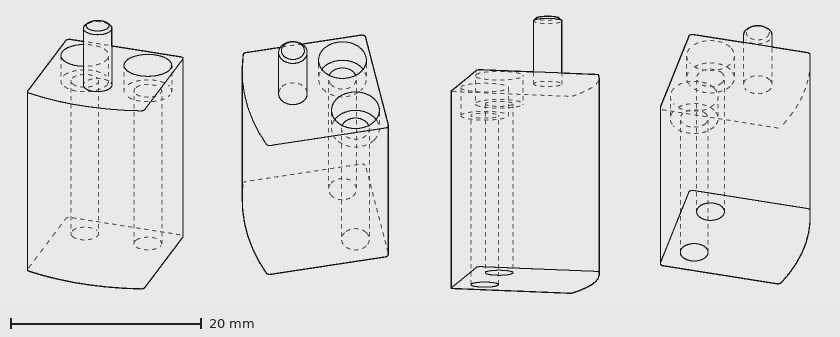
import cadquery as cq

width = 13.0
depth = 14.0
height = 21.0
corner_radius = 0.4

hole_diameter = 2.9
counterbore_diameter = 5.0
counterbore_depth = 3.0
hole_spacing = 7.0
hole_inset = 3.0

pin_diameter = 3.0
pin_tip_diameter = 2.4
pin_inset = 9.0
total_height = 28.0

back_y = depth / 2
bow_corner_y = back_y - width
hole_y = back_y - hole_inset
pin_y = back_y - pin_inset
pin_length = total_height - height
pin_chamfer = (pin_diameter - pin_tip_diameter) / 2


def make_housing():
    """Block with an arched front, rounded upright edges and two counterbored holes."""
    block = (
        cq.Workplane("XY")
        .moveTo(-width / 2, bow_corner_y)
        .lineTo(-width / 2, back_y)
        .lineTo(width / 2, back_y)
        .lineTo(width / 2, bow_corner_y)
        .threePointArc((0, -depth / 2), (-width / 2, bow_corner_y))
        .close()
        .extrude(height)
        .edges("|Z")
        .fillet(corner_radius)
    )
    hole_centres = [(side * hole_spacing / 2, hole_y) for side in (-1, 1)]
    return (
        block.faces(">Z")
        .workplane(origin=(0, 0, height))
        .pushPoints(hole_centres)
        .cboreHole(hole_diameter, counterbore_diameter, counterbore_depth)
    )


def make_pin():
    """Round pin with a chamfered tip, resting on top of the housing."""
    return (
        cq.Workplane("XY", origin=(0, pin_y, height))
        .circle(pin_diameter / 2)
        .extrude(pin_length)
        .faces(">Z")
        .chamfer(pin_chamfer)
    )


housing = make_housing()
pin = make_pin()

result = cq.Compound.makeCompound([housing.val(), pin.val()])